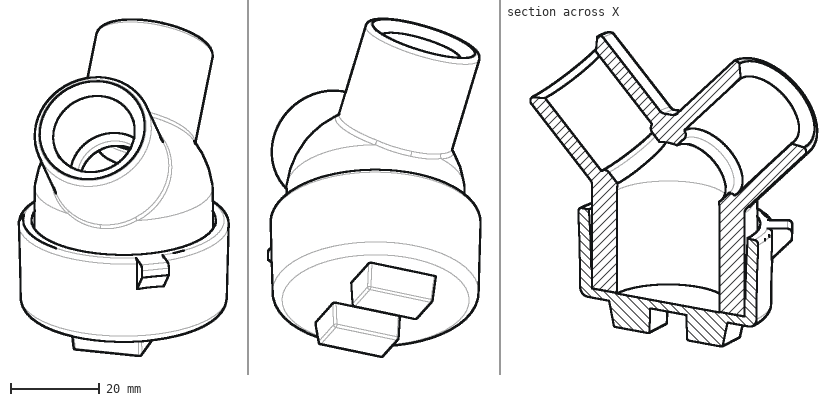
import cadquery as cq
import math

cup_bottom = 6.0
cup_top = 27.05
branch_junction_height = 32.5
dome_center_height = 32.9
dome_seam_height = 35.1

cup_rim_diameter = 47.8
cup_base_diameter = 46.8
cup_floor = 2.2
cup_bottom_round = 2.2
cup_rim_round = 1.0
cup_mouth_diameter = 41.9

foot_root_width = 16.6
foot_tip_width = 16.0
foot_inner_root = 4.75
foot_inner_tip = 4.9
foot_outer_root = 15.7
foot_outer_tip = 14.4
foot_edge_round = 0.6

lug_angle = -60.0
lug_width = 6.3
lug_reach = 28.15
lug_tip_height = 2.7
lug_root_round = 1.0

body_diameter = 40.5
cavity_diameter = 27.0
branch_tilt = 45.0
branch_diameter = 27.0
branch_length = 38.8
branch_rim_round = 1.0
branch_collar_round = 1.5
bore_diameter = 18.9
bore_mouth_diameter = 24.3
bore_mouth_depth = 2.2
bore_shoulder_distance = 15.5
throat_diameter = 16.1

body_radius = body_diameter / 2
cavity_radius = cavity_diameter / 2
branch_radius = branch_diameter / 2
bore_radius = bore_diameter / 2
throat_radius = throat_diameter / 2
cup_floor_top = cup_bottom + cup_floor
dome_radius = math.hypot(body_radius, dome_seam_height - dome_center_height)


def opposite(solid):
    """Copy of a solid on the other side of the Z axis."""
    return solid.rotate((0, 0, 0), (0, 0, 1), 180)


def edges_of_type(body, *kinds):
    """The body's edges whose curves are of the given kinds, ready for a fillet."""
    return body.newObject([edge for edge in body.edges().vals() if edge.geomType() in kinds])


def place_branch(solid):
    """Lean a solid built along Z toward -Y and start it where the branch axes meet."""
    return (
        solid.rotate((0, 0, 0), (0, 0, 1), -90)
        .rotate((0, 0, 0), (1, 0, 0), branch_tilt)
        .translate((0, 0, branch_junction_height))
    )


def make_branch_outside():
    """Solid branch with a rounded rim."""
    branch = cq.Workplane("XY").circle(branch_radius).extrude(branch_length)
    return place_branch(branch.faces(">Z").edges().fillet(branch_rim_round))


def make_branch_bore():
    """Bore with a conical mouth and a rounded shoulder that leads into a narrower throat."""
    shoulder_round = bore_radius - throat_radius
    throat_start = bore_shoulder_distance - shoulder_round
    middle_offset = shoulder_round * math.sqrt(0.5)
    profile = (
        cq.Workplane("XZ")
        .lineTo(throat_radius, 0)
        .lineTo(throat_radius, throat_start)
        .threePointArc(
            (bore_radius - middle_offset, throat_start + middle_offset),
            (bore_radius, bore_shoulder_distance),
        )
        .lineTo(bore_radius, branch_length - bore_mouth_depth)
        .lineTo(bore_mouth_diameter / 2, branch_length)
        .lineTo(0, branch_length)
        .close()
    )
    return place_branch(profile.revolve(360, (0, 0), (0, 1)))


def make_domed_post(radius, seam_height, sphere_radius):
    """Upright cylinder from the cup floor, closed by a dome that starts at the seam height."""
    seam_angle = math.asin((seam_height - dome_center_height) / sphere_radius)
    middle_angle = (seam_angle + math.pi / 2) / 2
    dome_middle = (
        sphere_radius * math.cos(middle_angle),
        dome_center_height + sphere_radius * math.sin(middle_angle),
    )
    return (
        cq.Workplane("XZ")
        .moveTo(0, cup_floor_top)
        .lineTo(radius, cup_floor_top)
        .lineTo(radius, seam_height)
        .threePointArc(dome_middle, (0, dome_center_height + sphere_radius))
        .close()
        .revolve(360, (0, 0), (0, 1))
    )


def make_y_piece():
    """Hollow domed body, open at the bottom, with two branches leaning to -Y and +Y."""
    post = make_domed_post(body_radius, dome_seam_height, dome_radius)
    one_branch = post.union(make_branch_outside())
    one_branch = edges_of_type(one_branch, "BSPLINE").fillet(branch_collar_round)
    outside = one_branch.union(opposite(one_branch))

    cavity = make_domed_post(cavity_radius, dome_center_height, cavity_radius)
    bore = make_branch_bore()
    return outside.cut(cavity).cut(bore).cut(opposite(bore))


def make_cup_outside():
    """Solid tapered cup with a rounded bottom edge and a rounded rim."""
    return (
        cq.Workplane("XZ")
        .moveTo(0, cup_bottom)
        .lineTo(cup_base_diameter / 2, cup_bottom)
        .lineTo(cup_rim_diameter / 2, cup_top)
        .lineTo(0, cup_top)
        .close()
        .revolve(360, (0, 0), (0, 1))
        .faces("<Z")
        .edges()
        .fillet(cup_bottom_round)
        .faces(">Z")
        .edges()
        .fillet(cup_rim_round)
    )


def make_lug():
    """Radial lug level with the cup rim, with a rounded top end and a 45 degree slope under its tip."""
    tip_bottom = cup_top - lug_tip_height
    inner_reach = body_radius + lug_root_round
    return (
        cq.Workplane("XZ")
        .moveTo(inner_reach, cup_top)
        .lineTo(lug_reach, cup_top)
        .lineTo(lug_reach, tip_bottom)
        .lineTo(inner_reach, tip_bottom - (lug_reach - inner_reach))
        .close()
        .extrude(lug_width / 2, both=True)
        .faces(">X")
        .edges(">Z")
        .fillet(cup_rim_round)
        .rotate((0, 0, 0), (0, 0, 1), lug_angle)
    )


def make_foot():
    """Tapered foot on the +Y side, its outer face sloping inward toward the tip."""
    root_depth = foot_outer_root - foot_inner_root
    tip_depth = foot_outer_tip - foot_inner_tip
    root_middle = foot_inner_root + root_depth / 2
    tip_middle = foot_inner_tip + tip_depth / 2
    return (
        cq.Workplane("XY", origin=(0, 0, cup_bottom))
        .center(0, root_middle)
        .rect(foot_root_width, root_depth)
        .workplane(offset=-cup_bottom)
        .center(0, tip_middle - root_middle)
        .rect(foot_tip_width, tip_depth)
        .loft()
        .edges("not >Z")
        .fillet(foot_edge_round)
    )


def make_cup():
    """Cup with a rim lug, two feet and a tapered bore that narrows to the body at its floor."""
    foot = make_foot()
    cup = make_cup_outside().union(make_lug()).union(foot).union(opposite(foot))
    bore = (
        cq.Workplane("XZ")
        .moveTo(0, cup_floor_top)
        .lineTo(body_radius, cup_floor_top)
        .lineTo(cup_mouth_diameter / 2, cup_top)
        .lineTo(0, cup_top)
        .close()
        .revolve(360, (0, 0), (0, 1))
    )
    return cup.cut(bore)


y_piece = make_y_piece()
cup = make_cup()

result = cq.Compound.makeCompound([y_piece.val(), cup.val()])